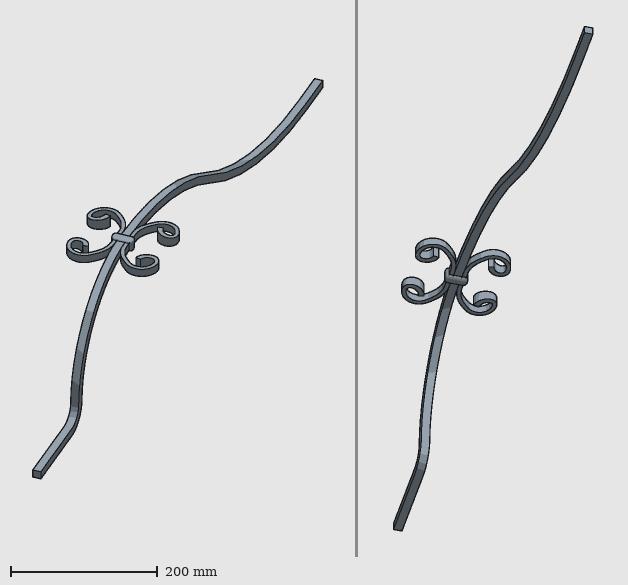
import cadquery as cq
import math

ROD_SIZE = 12.0
ROD_LENGTH = 1000.0
FRONT_END_Y = -306.0
REAR_END_Y = FRONT_END_Y + ROD_LENGTH
FOOT_Z = ROD_SIZE / 2

OVERALL_HEIGHT = 204.0
COLLAR_WALL = 4.0
COLLAR_LENGTH = 16.0
CREST_Z = OVERALL_HEIGHT - COLLAR_WALL - ROD_SIZE / 2

FRONT_START_Y = -5.0
FRONT_RADIUS = 161.0
FOOT_BEND_RADIUS = 30.0
CREST_RADIUS = 550.0
TAIL_START_Y = 640.0

STRIP_THICKNESS = 6.0
STRIP_HEIGHT = ROD_SIZE
TIP_HEIGHT = 18.0
TIP_THICKNESS = 8.0
STRIP_X = (ROD_SIZE + STRIP_THICKNESS) / 2
STRAIGHT_HALF_LENGTH = 15.0
CURL_BODY_ARCS = [(40.0, 40), (87.0, 10), (21.0, 40), (21.0, 90)]
CURL_TIP_ARCS = [(9.0, 90), (16.0, 80)]


def point_on_arc(centre_y, centre_z, radius, angle):
    """Point in the YZ plane at an angle in radians, measured from +Y towards +Z."""
    return centre_y + radius * math.cos(angle), centre_z + radius * math.sin(angle)


def make_rod():
    front_centre_z = CREST_Z - FRONT_RADIUS
    bend_centre_z = FOOT_Z + FOOT_BEND_RADIUS
    centre_rise = bend_centre_z - front_centre_z
    centre_run = math.sqrt((FRONT_RADIUS + FOOT_BEND_RADIUS) ** 2 - centre_rise**2)
    bend_centre_y = FRONT_START_Y - centre_run
    join_angle = math.atan2(centre_rise, -centre_run)
    bend_mid_angle = (join_angle - math.pi - math.pi / 2) / 2
    bend_mid = point_on_arc(bend_centre_y, bend_centre_z, FOOT_BEND_RADIUS, bend_mid_angle)
    front_join = point_on_arc(FRONT_START_Y, front_centre_z, FRONT_RADIUS, join_angle)
    front_mid_angle = (join_angle + math.pi / 2) / 2
    front_mid = point_on_arc(FRONT_START_Y, front_centre_z, FRONT_RADIUS, front_mid_angle)

    drop = CREST_Z - FOOT_Z
    radius_sum = (TAIL_START_Y**2 + drop**2) / (2 * drop)
    tail_radius = radius_sum - CREST_RADIUS
    turn = math.asin(TAIL_START_Y / radius_sum)
    crest_centre_z = CREST_Z - CREST_RADIUS
    tail_centre_z = FOOT_Z + tail_radius
    crest_mid = point_on_arc(0, crest_centre_z, CREST_RADIUS, (math.pi - turn) / 2)
    crest_join = point_on_arc(0, crest_centre_z, CREST_RADIUS, math.pi / 2 - turn)
    tail_mid = point_on_arc(TAIL_START_Y, tail_centre_z, tail_radius, -(math.pi + turn) / 2)

    path = (
        cq.Workplane("YZ")
        .moveTo(FRONT_END_Y, FOOT_Z)
        .lineTo(bend_centre_y, FOOT_Z)
        .threePointArc(bend_mid, front_join)
        .threePointArc(front_mid, (FRONT_START_Y, CREST_Z))
        .lineTo(0, CREST_Z)
        .threePointArc(crest_mid, crest_join)
        .threePointArc(tail_mid, (TAIL_START_Y, FOOT_Z))
        .lineTo(REAR_END_Y, FOOT_Z)
    )
    return (
        cq.Workplane("XZ", origin=(0, FRONT_END_Y, FOOT_Z)).rect(ROD_SIZE, ROD_SIZE).sweep(path)
    )


def add_left_arcs(path, start, heading, arcs):
    """Extend a path with tangent left-hand arcs; return it with its new end and heading."""
    x, y = start
    for radius, turn in arcs:
        centre_x = x - radius * math.sin(heading)
        centre_y = y + radius * math.cos(heading)
        points = []
        for angle in (heading + math.radians(turn) / 2, heading + math.radians(turn)):
            points.append((centre_x + radius * math.sin(angle), centre_y - radius * math.cos(angle)))
        path = path.threePointArc(*points)
        x, y = points[-1]
        heading += math.radians(turn)
    return path, (x, y), heading


def strip_section(point, heading, thickness, height):
    """Rectangular strip section, square to a heading in the horizontal plane."""
    plane = cq.Plane(
        origin=(*point, CREST_Z),
        xDir=(-math.sin(heading), math.cos(heading), 0),
        normal=(math.cos(heading), math.sin(heading), 0),
    )
    return cq.Workplane(plane).rect(thickness, height)


def make_scroll(side):
    """One scroll; side is -1 for the -X side of the rod and 1 for its mirror image on +X."""
    level = cq.Workplane("XY", origin=(0, 0, CREST_Z))
    start = (-STRIP_X, 0)
    straight_end = (-STRIP_X, STRAIGHT_HALF_LENGTH)
    up = math.pi / 2
    body_path = level.moveTo(*start).lineTo(*straight_end)
    body_path, body_end, body_heading = add_left_arcs(body_path, straight_end, up, CURL_BODY_ARCS)
    body = strip_section(start, up, STRIP_THICKNESS, STRIP_HEIGHT).sweep(body_path)

    tip_path, tip_end, tip_heading = add_left_arcs(
        level.moveTo(*body_end), body_end, body_heading, CURL_TIP_ARCS
    )
    tip_profiles = [
        strip_section(body_end, body_heading, STRIP_THICKNESS, STRIP_HEIGHT),
        strip_section(tip_end, tip_heading, TIP_THICKNESS, TIP_HEIGHT),
    ]
    tip = cq.Solid.sweep_multi([profile.val() for profile in tip_profiles], tip_path.wire().val())
    half = body.union(tip)
    scroll = half.union(half.mirror("XZ"))
    if side > 0:
        scroll = scroll.mirror("YZ")
    return scroll


def crown_section(base_z):
    """Lens-shaped section of the collar wall in the YZ plane, flat side down at base_z."""
    return (
        cq.Workplane("YZ")
        .moveTo(-COLLAR_LENGTH / 2, base_z)
        .threePointArc((0, base_z + COLLAR_WALL), (COLLAR_LENGTH / 2, base_z))
        .close()
    )


def make_collar(rod):
    half_width = ROD_SIZE / 2 + STRIP_THICKNESS
    half_height = ROD_SIZE / 2
    top = crown_section(half_height).extrude(half_width)
    side = crown_section(half_width).extrude(-half_height).rotate((0, 0, 0), (0, 1, 0), 90)
    corner = crown_section(half_height).revolve(90, (0, half_height), (1, half_height))
    quarter = top.union(side).union(corner.translate((half_width, 0, 0)))
    half = quarter.union(quarter.mirror("YZ"))
    band = half.union(half.mirror("XY")).translate((0, 0, CREST_Z))
    return band.cut(rod)


rod = make_rod()
collar = make_collar(rod)
scrolls = [make_scroll(side) for side in (-1, 1)]

bodies = []
for body in [rod, collar, *scrolls]:
    bodies.extend(body.solids().vals())
result = cq.Compound.makeCompound(bodies)